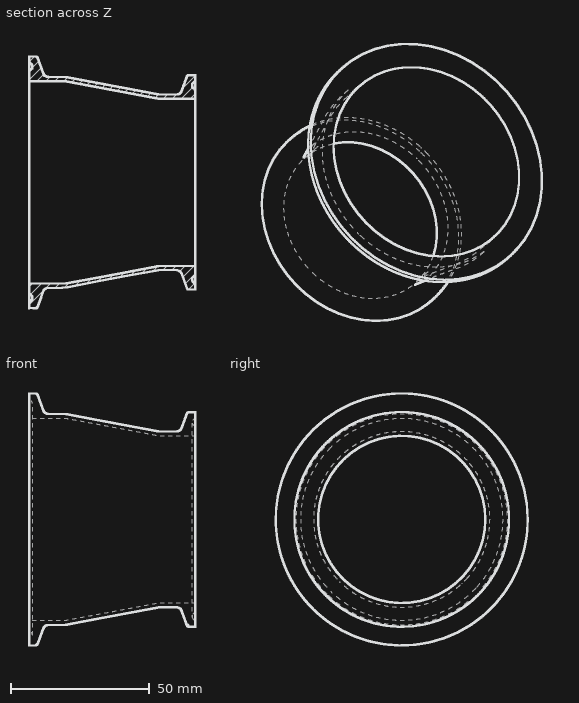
import cadquery as cq
import math

total_length = 60.0
ferrule_length = 13.0

large_flange_radius = 45.5
large_tube_radius = 38.1
large_bore_radius = 36.5

small_flange_radius = 38.8
small_tube_radius = 31.8
small_bore_radius = 30.1

rim_width = 2.9
clamp_angle = 20.0
rim_fillet = 1.0
root_fillet = 1.8

groove_inset = 3.7
arc_half_width = 1.1
lip_width = 1.0
lip_drop = 0.55


def revolve_about_x(profile):
    """Revolve a closed profile of (x, radius) points about the X axis."""
    return profile.close().revolve(360, (0, 0, 0), (1, 0, 0))


def fillet_circle(body, x, radius):
    """Round the circular edge whose centre lies at x on the axis."""
    edge = body.edges("%CIRCLE").edges(cq.selectors.NearestToPointSelector((x, 0, 0)))
    return edge.fillet(radius)


def gasket_groove(flange_radius):
    """Ring cutter: a concave arc that runs smoothly into a rounded lip on each side."""
    middle_radius = flange_radius - groove_inset
    groove_half_width = arc_half_width + lip_width
    chord_angle = math.atan2(lip_drop, lip_width)
    lip_arc_radius = (lip_width**2 + lip_drop**2) / (2 * lip_drop)
    lip_mid_depth = lip_arc_radius * (1 - math.cos(chord_angle))
    lip_mid_offset = groove_half_width - lip_arc_radius * math.sin(chord_angle)
    profile = (
        cq.Workplane("XY")
        .moveTo(0, middle_radius - groove_half_width)
        .threePointArc(
            (lip_mid_depth, middle_radius - lip_mid_offset),
            (lip_drop, middle_radius - arc_half_width),
        )
        .tangentArcPoint((lip_drop, middle_radius + arc_half_width), relative=False)
        .threePointArc(
            (lip_mid_depth, middle_radius + lip_mid_offset),
            (0, middle_radius + groove_half_width),
        )
    )
    return revolve_about_x(profile)


def ferrule(flange_radius, tube_radius):
    """Solid clamp ferrule with its end face at x = 0, extending toward +X."""
    clamp_depth = (flange_radius - tube_radius) * math.tan(math.radians(clamp_angle))
    root_x = rim_width + clamp_depth
    profile = cq.Workplane("XY").polyline([
        (0, 0),
        (0, flange_radius),
        (rim_width, flange_radius),
        (root_x, tube_radius),
        (ferrule_length, tube_radius),
        (ferrule_length, 0),
    ])
    body = revolve_about_x(profile)
    body = fillet_circle(body, root_x, root_fillet)
    body = fillet_circle(body, rim_width, rim_fillet)
    return body.cut(gasket_groove(flange_radius))


def reducer(large_radius, small_radius, straight_ends):
    """Solid cone between the ferrules, with straight lengths at its ends if asked for."""
    cone_start = ferrule_length
    cone_end = total_length - ferrule_length
    points = [(cone_start, large_radius), (cone_end, small_radius)]
    if straight_ends:
        points = [(0, large_radius)] + points + [(total_length, small_radius)]
    axis_points = [(points[-1][0], 0), (points[0][0], 0)]
    return revolve_about_x(cq.Workplane("XY").polyline(points + axis_points))


large_ferrule = ferrule(large_flange_radius, large_tube_radius)
small_ferrule = (
    ferrule(small_flange_radius, small_tube_radius)
    .mirror("YZ")
    .translate((total_length, 0, 0))
)
cone = reducer(large_tube_radius, small_tube_radius, straight_ends=False)
bore = reducer(large_bore_radius, small_bore_radius, straight_ends=True)

result = large_ferrule.union(cone).union(small_ferrule).cut(bore)